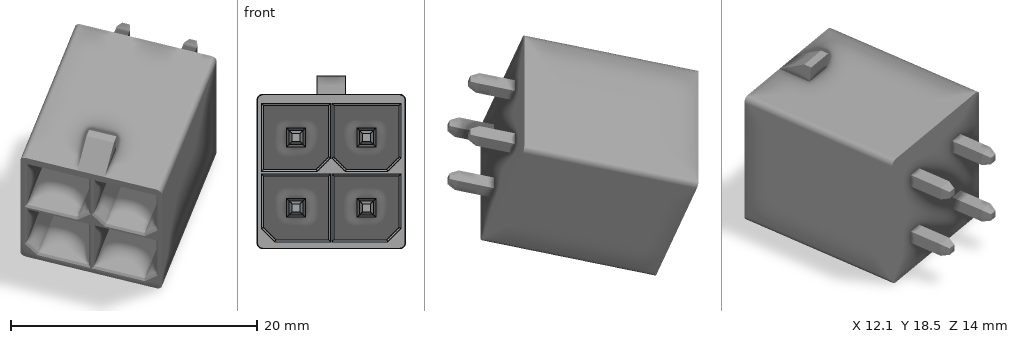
import cadquery as cq
import math

TOTAL_LENGTH = 18.5
TOTAL_HEIGHT = 14.02

HOUSING_WIDTH = 12.05
HOUSING_LENGTH = 14.8
HOUSING_HEIGHT = 12.5
EDGE_RADIUS = 0.48

PITCH = 5.72
GRID_CENTER_Z = 6.16
CAVITY_WIDTH = 5.3
CAVITY_HEIGHT = 5.18
CAVITY_DEPTH = 11.1
KEY_CHAMFER = 1.0

MOUTH_BEVEL = 0.17
MOUTH_KEY_CHAMFER = KEY_CHAMFER + (2 - math.sqrt(2)) * MOUTH_BEVEL

LATCH_WIDTH = 2.33
LATCH_HEIGHT = TOTAL_HEIGHT - HOUSING_HEIGHT
LATCH_CREST_BACK = 3.18
LATCH_CREST_FRONT = 2.48
LATCH_FOOT_BACK = 3.0

PIN_SIZE = 1.15
PIN_TIP_SIZE = 0.65
PIN_TAPER_LENGTH = 0.7
PIN_REACH = 5.55
COUNTERSINK_DEPTH = 0.18

PIN_FRONT_Y = CAVITY_DEPTH - PIN_REACH
PIN_BACK_Y = TOTAL_LENGTH

LEFT = -PITCH / 2
RIGHT = PITCH / 2
LOWER = GRID_CENTER_Z - PITCH / 2
UPPER = GRID_CENTER_Z + PITCH / 2

CAVITIES = [
    (LEFT, UPPER, False, True),
    (RIGHT, UPPER, True, True),
    (LEFT, LOWER, True, False),
    (RIGHT, LOWER, False, True),
]


def section_plane(x, y, z):
    """Plane across the housing, with local x = X, local y = Z and normal -Y."""
    return cq.Plane(origin=(x, y, z), xDir=(1, 0, 0), normal=(0, -1, 0))


def bar(x, z, size, start_y, end_y):
    """Square bar along Y."""
    return cq.Workplane(section_plane(x, end_y, z)).rect(size, size).extrude(end_y - start_y)


def square_taper(x, z, start_y, start_size, end_y, end_size):
    """Square frustum along Y; the end section lies further back than the start section."""
    return (
        cq.Workplane(section_plane(x, end_y, z))
        .rect(end_size, end_size)
        .workplane(offset=end_y - start_y)
        .rect(start_size, start_size)
        .loft(ruled=True)
    )


def keyed_outline(width, height, chamfer, key_left, key_right):
    """Rectangle whose chosen lower corners are cut at 45 degrees."""
    side = width / 2
    top = height / 2
    points = [(side, top), (-side, top)]
    if key_left:
        points += [(-side, chamfer - top), (chamfer - side, -top)]
    else:
        points += [(-side, -top)]
    if key_right:
        points += [(side - chamfer, -top), (side, chamfer - top)]
    else:
        points += [(side, -top)]
    return points


def make_cavity(x, z, key_left, key_right):
    """Straight keyed cavity with a bevelled mouth."""
    inner = keyed_outline(CAVITY_WIDTH, CAVITY_HEIGHT, KEY_CHAMFER, key_left, key_right)
    mouth = keyed_outline(
        CAVITY_WIDTH + 2 * MOUTH_BEVEL,
        CAVITY_HEIGHT + 2 * MOUTH_BEVEL,
        MOUTH_KEY_CHAMFER,
        key_left,
        key_right,
    )
    straight = (
        cq.Workplane(section_plane(x, CAVITY_DEPTH, z))
        .polyline(inner)
        .close()
        .extrude(CAVITY_DEPTH)
    )
    bevel = (
        cq.Workplane(section_plane(x, MOUTH_BEVEL, z))
        .polyline(inner)
        .close()
        .workplane(offset=MOUTH_BEVEL)
        .polyline(mouth)
        .close()
        .loft(ruled=True)
    )
    return straight.union(bevel)


def make_pin_hole(x, z):
    """Square hole through the back wall, countersunk at the cavity floor."""
    hole = bar(x, z, PIN_SIZE, CAVITY_DEPTH, HOUSING_LENGTH)
    countersink = square_taper(
        x, z, CAVITY_DEPTH, PIN_SIZE + 2 * COUNTERSINK_DEPTH, CAVITY_DEPTH + COUNTERSINK_DEPTH, PIN_SIZE
    )
    return hole.union(countersink)


def make_latch():
    """Ramp rising from the front edge to a short flat crest with an undercut back."""
    profile = [
        (0, HOUSING_HEIGHT),
        (LATCH_CREST_FRONT, HOUSING_HEIGHT + LATCH_HEIGHT),
        (LATCH_CREST_BACK, HOUSING_HEIGHT + LATCH_HEIGHT),
        (LATCH_FOOT_BACK, HOUSING_HEIGHT),
    ]
    return cq.Workplane("YZ").polyline(profile).close().extrude(LATCH_WIDTH / 2, both=True)


def make_housing():
    block = (
        cq.Workplane("XY")
        .box(HOUSING_WIDTH, HOUSING_LENGTH, HOUSING_HEIGHT, centered=(True, False, False))
        .edges("|Y")
        .fillet(EDGE_RADIUS)
    )
    block = block.union(make_latch())
    for x, z, key_left, key_right in CAVITIES:
        block = block.cut(make_cavity(x, z, key_left, key_right))
        block = block.cut(make_pin_hole(x, z))
    return block.solids()


def make_pin(x, z):
    """Square pin tapered at both ends."""
    shank_front = PIN_FRONT_Y + PIN_TAPER_LENGTH
    shank_back = PIN_BACK_Y - PIN_TAPER_LENGTH
    shank = bar(x, z, PIN_SIZE, shank_front, shank_back)
    front_tip = square_taper(x, z, PIN_FRONT_Y, PIN_TIP_SIZE, shank_front, PIN_SIZE)
    back_tip = square_taper(x, z, shank_back, PIN_SIZE, PIN_BACK_Y, PIN_TIP_SIZE)
    return shank.union(front_tip).union(back_tip).solids()


housing = make_housing()
pins = [make_pin(x, z) for x, z, _, _ in CAVITIES]

result = cq.Compound.makeCompound([housing.val(), *[pin.val() for pin in pins]])